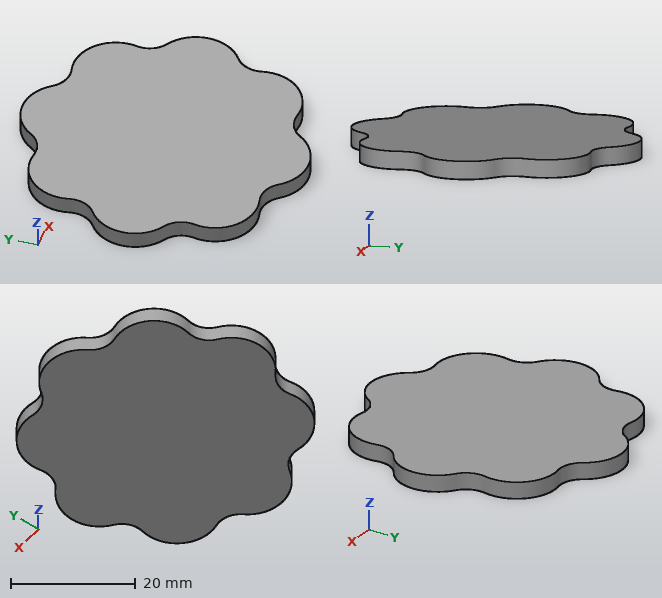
import cadquery as cq
import math

outer_diameter = 48.05
thickness = 3.0
lobe_count = 8
lobe_radius = 7.1
valley_diameter = 8.65

outer_radius = outer_diameter / 2
valley_radius = valley_diameter / 2
lobe_pitch = 2 * math.pi / lobe_count
half_pitch = lobe_pitch / 2
centre_distance = lobe_radius + valley_radius
lobe_centre_radius = outer_radius - lobe_radius
valley_centre_radius = lobe_centre_radius * math.cos(half_pitch) + math.sqrt(
    centre_distance**2 - (lobe_centre_radius * math.sin(half_pitch)) ** 2
)
valley_floor_radius = valley_centre_radius - valley_radius

lobe_share = lobe_radius / centre_distance
valley_centre_x = valley_centre_radius * math.cos(half_pitch)
valley_centre_y = valley_centre_radius * math.sin(half_pitch)
tangent_x = lobe_centre_radius + lobe_share * (valley_centre_x - lobe_centre_radius)
tangent_y = lobe_share * valley_centre_y
tangent_radius = math.hypot(tangent_x, tangent_y)
tangent_angle = math.atan2(tangent_y, tangent_x)


def polar_point(radius, angle):
    """XY point at a radius and angle (in radians from +X) about the part axis."""
    return (radius * math.cos(angle), radius * math.sin(angle))


def scalloped_outline():
    """Closed outline of alternating lobe and valley arcs, with one lobe centred on +X."""
    outline = cq.Workplane("XY").moveTo(*polar_point(tangent_radius, -tangent_angle))
    for lobe in range(lobe_count):
        lobe_angle = lobe * lobe_pitch
        outline = outline.threePointArc(
            polar_point(outer_radius, lobe_angle),
            polar_point(tangent_radius, lobe_angle + tangent_angle),
        )
        outline = outline.threePointArc(
            polar_point(valley_floor_radius, lobe_angle + half_pitch),
            polar_point(tangent_radius, lobe_angle + lobe_pitch - tangent_angle),
        )
    return outline.close()


result = scalloped_outline().extrude(thickness)